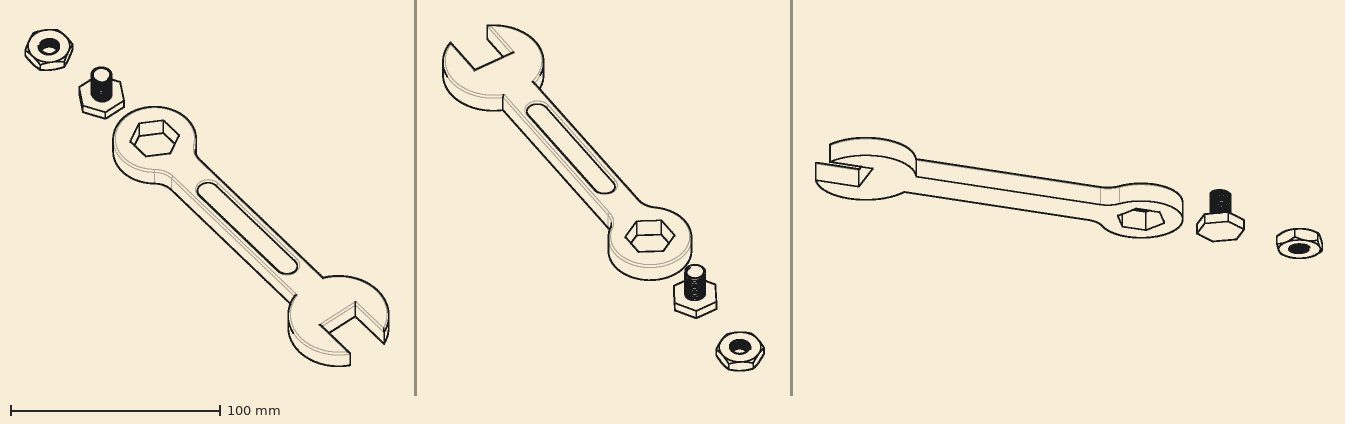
import cadquery as cq
import math


THICKNESS = 9.8
RING_RADIUS = 20.0
RING_HEX_FLATS = 20.5
HANDLE_WIDTH = 17.7
NECK_RADIUS = 10.5
JAW_X = 139.2
JAW_RADIUS = 24.12
JAW_OPENING = 20.7
EDGE_ROUND = 1.0

RECESS_START_X = 34.3
RECESS_END_X = 106.0
RECESS_WIDTH = 12.0
RECESS_DEPTH = 1.3

FASTENER_FLATS = 20.0
HALF_SIDE_ANGLE = 30
CORNER_RATIO = 1 / math.cos(math.radians(HALF_SIDE_ANGLE))
PITCH = 1.5
THREAD_BASE_WIDTH = 1.3
THREAD_TIP_WIDTH = 0.3
THREAD_OVERLAP = 0.13

BOLT_X = -40.2
HEAD_HEIGHT = 5.0
BOLT_LENGTH = 20.0
BOLT_MAJOR_DIAMETER = 9.8
BOLT_MINOR_DIAMETER = 8.0

NUT_X = -80.0
NUT_HEIGHT = 6.0
NUT_MINOR_DIAMETER = 8.5
NUT_MAJOR_DIAMETER = 10.0
NUT_CHAMFER_ANGLE = math.radians(35)


def hexagon_prism(flats, bottom, height):
    """Hexagonal prism about the Z axis with two corners on the X axis."""
    corner_diameter = flats * CORNER_RATIO
    return cq.Workplane("XY", origin=(0, 0, bottom)).polygon(6, corner_diameter).extrude(height)


def threaded_rod(minor_diameter, major_diameter, bottom, top):
    """Rod about the Z axis with a helical ridge, cut off flat at both ends."""
    minor_radius = minor_diameter / 2
    major_radius = major_diameter / 2
    base_radius = minor_radius - THREAD_OVERLAP
    height = top - bottom

    helix = cq.Wire.makeHelix(PITCH, height + 2 * PITCH, base_radius)
    section = [
        (base_radius, -THREAD_BASE_WIDTH / 2),
        (major_radius, -THREAD_TIP_WIDTH / 2),
        (major_radius, THREAD_TIP_WIDTH / 2),
        (base_radius, THREAD_BASE_WIDTH / 2),
    ]
    ridge = cq.Workplane("XZ").polyline(section).close().sweep(cq.Workplane(obj=helix), isFrenet=True)
    ridge = ridge.translate((0, 0, bottom - PITCH))

    end_plane = cq.Workplane("XY", origin=(0, 0, bottom))
    envelope = end_plane.circle(major_diameter).extrude(height)
    rod = end_plane.circle(minor_radius).extrude(height)
    return rod.union(ridge.intersect(envelope))


def make_neck():
    """Web whose concave sides lead from the ring into the handle."""
    half_width = HANDLE_WIDTH / 2
    reach = RING_RADIUS + NECK_RADIUS
    arc_y = half_width + NECK_RADIUS
    arc_x = math.sqrt(reach**2 - arc_y**2)
    touch_x = arc_x * RING_RADIUS / reach
    touch_y = arc_y * RING_RADIUS / reach
    return (
        cq.Workplane("XY")
        .moveTo(touch_x, -touch_y)
        .radiusArc((arc_x, -half_width), NECK_RADIUS)
        .lineTo(arc_x, half_width)
        .radiusArc((touch_x, touch_y), NECK_RADIUS)
        .close()
        .extrude(THICKNESS)
    )


def make_jaw_opening():
    """Slot from the jaw centre out through its +X side."""
    side = cq.Workplane("XY", origin=(JAW_X, 0, 0))
    return side.box(2 * JAW_RADIUS, JAW_OPENING, THICKNESS, centered=(False, True, False))


def make_recess():
    """Round-ended pocket, drawn in by the rim rounding that is added later."""
    middle_x = (RECESS_START_X + RECESS_END_X) / 2
    length = RECESS_END_X - RECESS_START_X - 2 * EDGE_ROUND
    width = RECESS_WIDTH - 2 * EDGE_ROUND
    floor = cq.Workplane("XY", origin=(middle_x, 0, THICKNESS - RECESS_DEPTH))
    return floor.slot2D(length, width).extrude(RECESS_DEPTH)


def make_wrench():
    ring = cq.Workplane("XY").circle(RING_RADIUS).extrude(THICKNESS)
    handle = cq.Workplane("XY").box(JAW_X, HANDLE_WIDTH, THICKNESS, centered=(False, True, False))
    jaw = cq.Workplane("XY").center(JAW_X, 0).circle(JAW_RADIUS).extrude(THICKNESS)
    blank = ring.union(handle).union(make_neck()).union(jaw)
    blank = blank.cut(make_jaw_opening()).cut(make_recess()).clean()

    rounded = blank.faces(">Z").edges().fillet(EDGE_ROUND)
    return rounded.cut(hexagon_prism(RING_HEX_FLATS, 0, THICKNESS))


def make_bolt():
    head = hexagon_prism(FASTENER_FLATS, 0, HEAD_HEIGHT).rotate((0, 0, 0), (0, 0, 1), HALF_SIDE_ANGLE)
    shank = threaded_rod(BOLT_MINOR_DIAMETER, BOLT_MAJOR_DIAMETER, HEAD_HEIGHT, BOLT_LENGTH)
    return head.union(shank).translate((BOLT_X, 0, 0))


def make_nut():
    top = NUT_HEIGHT / 2
    flat_radius = FASTENER_FLATS / 2
    corner_radius = flat_radius * CORNER_RATIO
    shoulder = top - (corner_radius - flat_radius) * math.tan(NUT_CHAMFER_ANGLE)

    turned_blank = (
        cq.Workplane("XZ")
        .polyline(
            [
                (0, -top),
                (flat_radius, -top),
                (corner_radius, -shoulder),
                (corner_radius, shoulder),
                (flat_radius, top),
                (0, top),
            ]
        )
        .close()
        .revolve(360, (0, 0, 0), (0, 1, 0))
    )
    body = hexagon_prism(FASTENER_FLATS, -top, NUT_HEIGHT).intersect(turned_blank)
    thread = threaded_rod(NUT_MINOR_DIAMETER, NUT_MAJOR_DIAMETER, -top, top)
    return body.cut(thread).translate((NUT_X, 0, 0))


wrench = make_wrench().solids()
bolt = make_bolt().solids()
nut = make_nut().solids()

result = cq.Compound.makeCompound([wrench.val(), bolt.val(), nut.val()])